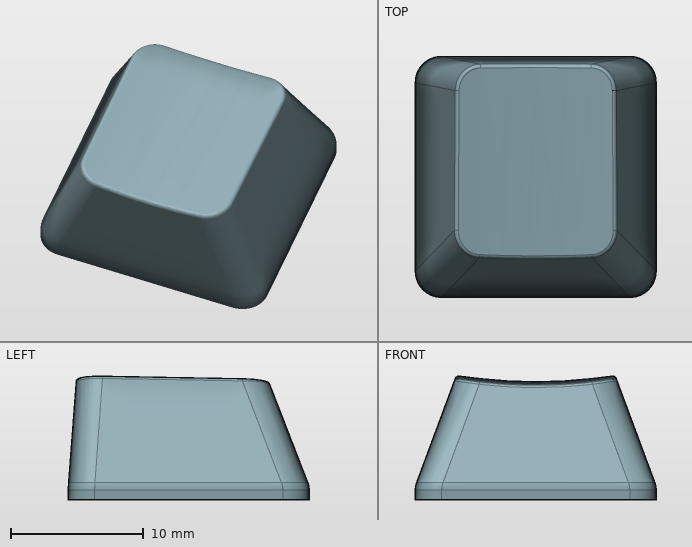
import cadquery as cq
import math

base_size = 18.16
base_corner_radius = 2.0
skirt_height = 0.73
shoulder_height = 1.3

body_top_height = 9.62
top_width = 11.77
top_front_y = -5.74
top_back_y = 8.43
top_corner_radius = 1.96

dish_radius = 36.86
dish_floor_height = 8.73
dish_tilt = 1.1
dish_length = 2 * base_size
rim_radius = 0.27


def section(height, taper):
    """Rounded outline at a height; taper runs from 0 at the base to 1 at body_top_height."""
    half_base = base_size / 2
    half_width = half_base + taper * (top_width / 2 - half_base)
    front_y = -half_base + taper * (top_front_y + half_base)
    back_y = half_base + taper * (top_back_y - half_base)
    radius = base_corner_radius + taper * (top_corner_radius - base_corner_radius)
    outline = cq.Sketch().rect(2 * half_width, back_y - front_y).vertices().fillet(radius)
    return outline.moved(cq.Location(cq.Vector(0, (front_y + back_y) / 2, height)))


def make_body():
    """Straight skirt, a curved shoulder, and sloped walls tangent to the shoulder."""
    shoulder_rise = shoulder_height - skirt_height
    taper_per_height = 1 / (body_top_height - skirt_height - shoulder_rise / 2)

    def shoulder_section(rise):
        return section(skirt_height + rise, taper_per_height * rise**2 / (2 * shoulder_rise))

    bottom = shoulder_section(0)
    middle = shoulder_section(shoulder_rise / 2)
    end = shoulder_section(shoulder_rise)
    top = section(body_top_height, 1)

    skirt = cq.Workplane("XY").placeSketch(section(0, 0)).extrude(skirt_height)
    shoulder = cq.Workplane("XY").placeSketch(bottom, middle, end).loft()
    walls = cq.Workplane("XY").placeSketch(end, top).loft(ruled=True)
    return skirt.union(shoulder).union(walls)


def make_dish():
    """Cylinder that hollows the top face."""
    cylinder = cq.Workplane("XZ").circle(dish_radius).extrude(dish_length / 2, both=True)
    cylinder = cylinder.rotate((0, 0, 0), (1, 0, 0), dish_tilt)
    axis_height = dish_floor_height + dish_radius / math.cos(math.radians(dish_tilt))
    return cylinder.translate((0, 0, axis_height))


body = make_body().cut(make_dish())
result = body.faces(">Z").edges().fillet(rim_radius)